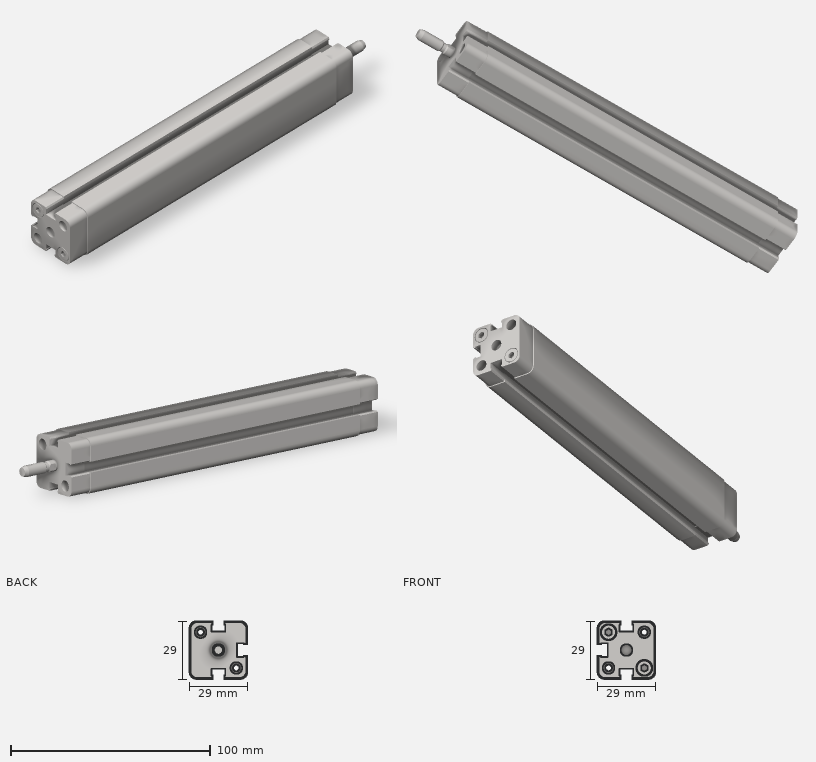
import cadquery as cq
import math

total_length = 218.5
cap_length = 12.0
rod_length = 20.5
barrel_length = total_length - rod_length - 2 * cap_length
front_face_y = total_length - rod_length

barrel_side = 29.0
barrel_corner_radius = 3.7
cap_side = 28.0
cap_corner_radius = 3.3

slot_width = 6.8
slot_floor = 9.5
barrel_slot_floor = 9.0
lip_opening = 5.7
cap_mouth = 6.8
cap_flare_depth = 0.9
lip_inner = 12.7
slot_angles = (0, 90, 180)

bolt_offset = 9.0
through_diameter = 3.3
thread_diameter = 6.0
thread_depth = 11.0
head_hole_diameter = 8.0
screw_head_diameter = 7.5
screw_recess_depth = 1.0
socket_width = 3.3
socket_depth = 2.6
pivot_hole_diameter = 6.0
pivot_hole_depth = 4.4

rod_diameter = 6.0
neck_diameter = 4.8
tip_diameter = 4.5
tip_chamfer_length = 2.2
thread_length = 13.5
neck_length = 3.0
neck_taper = 0.7
flat_width = 4.8
flat_length = 3.7


def square_bar(side, corner_radius, start_y, length):
    bar = cq.Workplane("XY").box(side, length, side)
    return bar.edges("|Y").fillet(corner_radius).translate((0, start_y + length / 2, 0))


def cylinder(diameter, start_y, length, x=0, z=0):
    axis = cq.Vector(0, 1, 0)
    return cq.Workplane(cq.Solid.makeCylinder(diameter / 2, length, cq.Vector(x, start_y, z), axis))


def hex_socket(x, z):
    corner_diameter = socket_width / math.cos(math.pi / 6)
    socket = cq.Workplane("XZ").polygon(6, corner_diameter).extrude(-socket_depth)
    return socket.rotate((0, 0, 0), (0, 1, 0), 30).translate((x, 0, z))


def slot_cutter(start_y, length, width, bottom, top):
    middle = (0, start_y + length / 2, (bottom + top) / 2)
    return cq.Workplane("XY").box(width, length, top - bottom).translate(middle)


def cut_slots(body, cutter):
    for angle in slot_angles:
        body = body.cut(cutter.rotate((0, 0, 0), (0, 1, 0), -angle))
    return body


def make_cap(start_y):
    cap = square_bar(cap_side, cap_corner_radius, start_y, cap_length)
    groove = slot_cutter(start_y, cap_length, slot_width, slot_floor, lip_inner)
    half_inner = lip_opening / 2
    half_outer = cap_mouth / 2
    flare_start = cap_side / 2 - cap_flare_depth
    mouth_profile = [
        (-half_inner, slot_floor),
        (-half_inner, flare_start),
        (-half_outer, cap_side / 2),
        (half_outer, cap_side / 2),
        (half_inner, flare_start),
        (half_inner, slot_floor),
    ]
    mouth = cq.Workplane("XZ").polyline(mouth_profile).close().extrude(-cap_length)
    return cut_slots(cap, groove.union(mouth.translate((0, start_y, 0))))


def make_barrel():
    barrel = square_bar(barrel_side, barrel_corner_radius, cap_length, barrel_length)
    groove = slot_cutter(cap_length, barrel_length, slot_width, barrel_slot_floor, lip_inner)
    opening = slot_cutter(cap_length, barrel_length, lip_opening, barrel_slot_floor, barrel_side)
    return cut_slots(barrel, groove.union(opening))


def make_rod():
    rod_radius = rod_diameter / 2
    neck_radius = neck_diameter / 2
    thread_end_y = total_length - thread_length
    collar_y = thread_end_y - neck_length
    flat_middle_y = collar_y + neck_taper - flat_length / 2
    profile = [
        (0, front_face_y - cap_length / 2),
        (rod_radius, front_face_y - cap_length / 2),
        (rod_radius, collar_y),
        (neck_radius, collar_y + neck_taper),
        (neck_radius, thread_end_y - neck_taper),
        (rod_radius, thread_end_y),
        (rod_radius, total_length - tip_chamfer_length),
        (tip_diameter / 2, total_length),
        (0, total_length),
    ]
    rod = cq.Workplane("XY").polyline(profile).close().revolve(360, (0, 0, 0), (0, 1, 0))
    for side in (-1, 1):
        flat = cq.Workplane("XY").box(rod_diameter, flat_length, rod_diameter)
        flat_x = side * (flat_width + rod_diameter) / 2
        rod = rod.cut(flat.translate((flat_x, flat_middle_y, 0)))
    return rod


result = make_barrel().union(make_cap(0)).union(make_cap(cap_length + barrel_length)).union(make_rod())

result = result.cut(cylinder(pivot_hole_diameter, 0, pivot_hole_depth))

for side in (-1, 1):
    x = z = side * bolt_offset
    result = result.cut(cylinder(through_diameter, 0, front_face_y, x, z))
    for start_y in (0, front_face_y - thread_depth):
        result = result.cut(cylinder(thread_diameter, start_y, thread_depth, x, z))

for side in (-1, 1):
    x = side * bolt_offset
    ring = cylinder(head_hole_diameter, 0, screw_recess_depth, x, -x)
    result = result.cut(ring.cut(cylinder(screw_head_diameter, 0, screw_recess_depth, x, -x)))
    result = result.cut(hex_socket(x, -x))